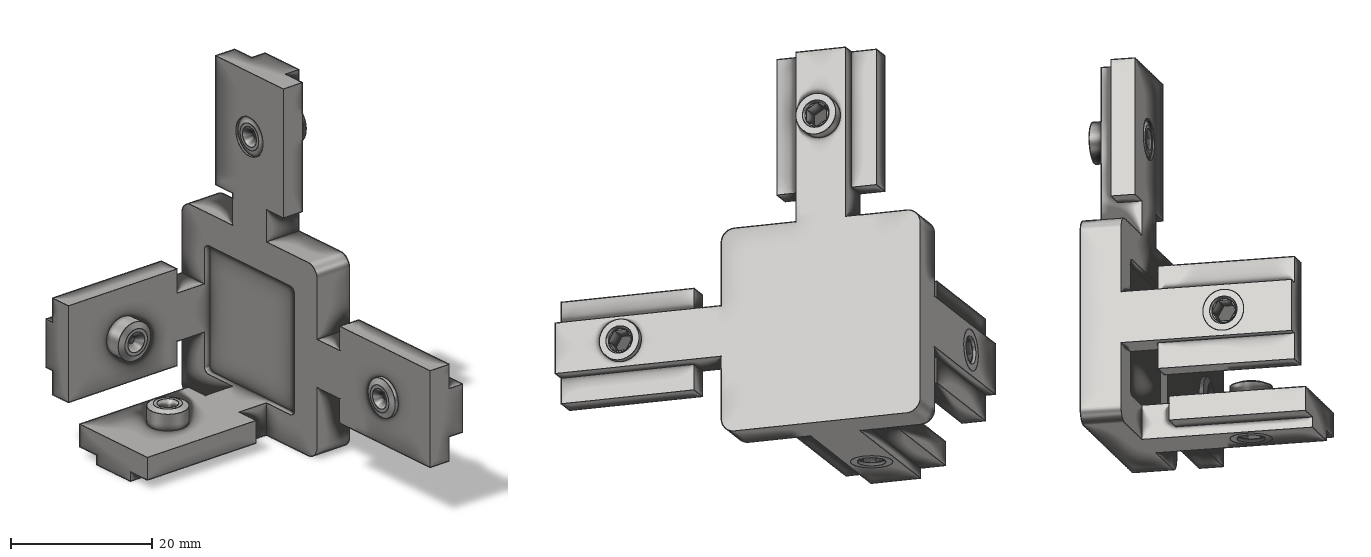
import cadquery as cq
import math

overall_span = 55.0

frame_side = 30.0
plate_thickness = 6.0
frame_corner_radius = 2.0
rim_width = 5.0
recess_depth = 1.0
recess_corner_radius = 1.0
frame_center = frame_side / 2

arm_length = overall_span - frame_side
neck_length = 5.0
head_length = arm_length - neck_length
neck_width = 7.5
head_width = 15.0
flange_thickness = 3.5
side_arm_thickness = plate_thickness
front_arm_thickness = rim_width

screw_diameter = 6.0
screw_length = 8.0
socket_width = 3.0
socket_depth = 3.5
socket_mouth_diameter = 4.0
socket_mouth_depth = 0.4
point_diameter = 4.1
point_chamfer_length = 0.4
cup_diameter = 3.1
cup_floor_diameter = 1.0
cup_depth = 1.05
screw_station = neck_length + head_length / 2

flush_standout = 0.0
right_screw_standout = 1.0
top_screw_standout = screw_length - plate_thickness

arm_sites = [
    (
        cq.Plane((frame_side, plate_thickness, frame_center), (1, 0, 0), (0, -1, 0)),
        side_arm_thickness,
        right_screw_standout,
    ),
    (
        cq.Plane((frame_center, plate_thickness, frame_side), (0, 0, 1), (0, -1, 0)),
        side_arm_thickness,
        top_screw_standout,
    ),
    (
        cq.Plane((0, 0, frame_center), (0, -1, 0), (1, 0, 0)),
        front_arm_thickness,
        flush_standout,
    ),
    (
        cq.Plane((frame_center, 0, 0), (0, -1, 0), (0, 0, 1)),
        front_arm_thickness,
        flush_standout,
    ),
]


def make_frame():
    """Rounded square plate with a shallow square recess in its front face."""
    front = cq.Plane((frame_center, 0, frame_center), (1, 0, 0), (0, -1, 0))
    recess_side = frame_side - 2 * rim_width
    plate = (
        cq.Workplane(front)
        .rect(frame_side, frame_side)
        .extrude(-plate_thickness)
        .edges("|Y")
        .fillet(frame_corner_radius)
    )
    recess = (
        cq.Workplane(front)
        .rect(recess_side, recess_side)
        .extrude(-recess_depth)
        .edges("|Y")
        .fillet(recess_corner_radius)
    )
    return plate.cut(recess)


def make_arm(root, thickness):
    """Neck and stem in one bar, with the wider flange on the inner side of the head."""
    bar = (
        cq.Workplane(root)
        .center(arm_length / 2, 0)
        .rect(arm_length, neck_width)
        .extrude(thickness)
    )
    flange = (
        cq.Workplane(root)
        .workplane(offset=thickness - flange_thickness)
        .center(screw_station, 0)
        .rect(head_length, head_width)
        .extrude(flange_thickness)
    )
    return bar.union(flange)


def screw_plane(root, standout):
    """Plane at the socket end of a screw, its normal along the screw axis."""
    return cq.Workplane(root).center(screw_station, 0).workplane(offset=-standout).plane


def make_screw_hole(root, standout):
    """Plain cylinder that clears the arm for its screw."""
    return cq.Workplane(screw_plane(root, standout)).circle(screw_diameter / 2).extrude(screw_length)


def make_cone(base, start, depth, start_diameter, end_diameter):
    """Truncated cone along the normal of the base plane."""
    center = base.toWorldCoords((0, 0, start))
    return cq.Workplane(
        cq.Solid.makeCone(start_diameter / 2, end_diameter / 2, depth, center, base.zDir)
    )


def make_screw(root, standout):
    """Set screw with a hex socket and a cup point."""
    socket_end = screw_plane(root, standout)
    shank_length = screw_length - point_chamfer_length
    shank = cq.Workplane(socket_end).circle(screw_diameter / 2).extrude(shank_length)
    point = make_cone(socket_end, shank_length, point_chamfer_length, screw_diameter, point_diameter)
    cup = make_cone(socket_end, screw_length - cup_depth, cup_depth, cup_floor_diameter, cup_diameter)

    socket_corner_diameter = socket_width / math.cos(math.pi / 6)
    socket = cq.Workplane(socket_end).polygon(6, socket_corner_diameter).extrude(socket_depth)
    mouth = make_cone(
        socket_end, 0, socket_mouth_depth, socket_mouth_diameter, socket_corner_diameter
    )

    return shank.union(point).cut(cup).cut(socket).cut(mouth)


bracket = make_frame()
for root, thickness, standout in arm_sites:
    bracket = bracket.union(make_arm(root, thickness))
    bracket = bracket.cut(make_screw_hole(root, standout))

screws = [make_screw(root, standout) for root, thickness, standout in arm_sites]

result = cq.Compound.makeCompound([bracket.val(), *[screw.val() for screw in screws]])